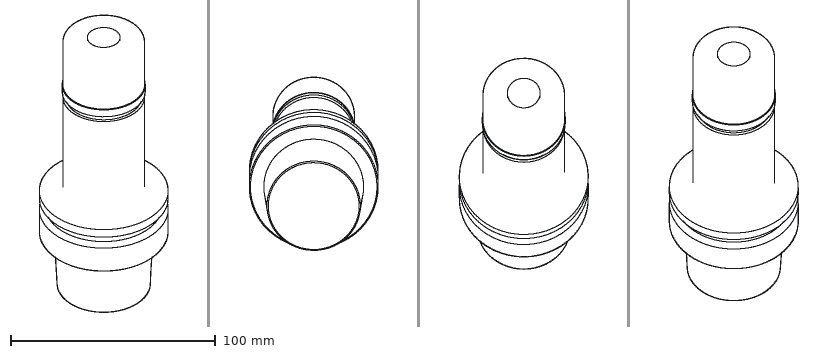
import cadquery as cq
import math

TAPER_LENGTH = 32.0
FLANGE_HEIGHT = 26.0
OVERALL_LENGTH = 152.0
NOSE_TOP = OVERALL_LENGTH - TAPER_LENGTH

FLANGE_RADIUS = 31.5
FLANGE_CHAMFER = 0.6
GROOVE_BOTTOM_RADIUS = 28.5
GROOVE_CENTER_Z = 18.0
GROOVE_BOTTOM_WIDTH = 3.3
GROOVE_FLANK_ANGLE = math.radians(30)

TAPER_TOP_RADIUS = 24.38
TAPER_BOTTOM_RADIUS = 22.78
TAPER_CHAMFER = 0.6

NOSE_RADIUS = 20.0
NOSE_EDGE_RADIUS = 3.0
NOSE_FOOT_RADIUS = 3.0

RING_RADIUS = 20.3
RING_TOP_Z = 91.3
RING_HEIGHT = 4.5
RING_CHAMFER = RING_RADIUS - NOSE_RADIUS
NECK_RADIUS = 18.55
NECK_HEIGHT = 3.2

BORE_RADIUS = 8.0
BORE_DEPTH = 40.0


def make_shank():
    """Conical shank below the seating face, chamfered at its end."""
    shank = (
        cq.Workplane("XY")
        .workplane(offset=-TAPER_LENGTH)
        .circle(TAPER_BOTTOM_RADIUS)
        .workplane(offset=TAPER_LENGTH)
        .circle(TAPER_TOP_RADIUS)
        .loft(ruled=True)
    )
    return shank.faces("<Z").edges().chamfer(TAPER_CHAMFER)


def make_flange():
    """Flange disc with a trapezoidal groove around it."""
    flange = cq.Workplane("XY").circle(FLANGE_RADIUS).extrude(FLANGE_HEIGHT)
    flange = flange.faces("<Z").edges().chamfer(FLANGE_CHAMFER)
    depth = FLANGE_RADIUS - GROOVE_BOTTOM_RADIUS
    bottom_half = GROOVE_BOTTOM_WIDTH / 2
    mouth_half = bottom_half + depth * math.tan(GROOVE_FLANK_ANGLE)
    groove = (
        cq.Workplane("XZ")
        .moveTo(FLANGE_RADIUS, GROOVE_CENTER_Z - mouth_half)
        .lineTo(GROOVE_BOTTOM_RADIUS, GROOVE_CENTER_Z - bottom_half)
        .lineTo(GROOVE_BOTTOM_RADIUS, GROOVE_CENTER_Z + bottom_half)
        .lineTo(FLANGE_RADIUS, GROOVE_CENTER_Z + mouth_half)
        .close()
        .revolve(360, (0, 0, 0), (0, 1, 0))
    )
    return flange.cut(groove)


def make_disc(radius, bottom_z, height):
    """Solid disc about Z, standing on bottom_z."""
    return cq.Workplane("XY").workplane(offset=bottom_z).circle(radius).extrude(height)


def make_nose():
    """Cylindrical nose with rounded top, ring, neck and blind bore."""
    nose = make_disc(NOSE_RADIUS, FLANGE_HEIGHT, NOSE_TOP - FLANGE_HEIGHT)
    nose = nose.faces(">Z").edges().fillet(NOSE_EDGE_RADIUS)
    neck_top = RING_TOP_Z - RING_HEIGHT
    neck_bottom = neck_top - NECK_HEIGHT
    neck_cut = make_disc(RING_RADIUS, neck_bottom, NECK_HEIGHT).cut(
        make_disc(NECK_RADIUS, neck_bottom, NECK_HEIGHT)
    )
    ring = make_disc(RING_RADIUS, neck_top, RING_HEIGHT)
    ring = ring.faces(">Z").edges().chamfer(RING_CHAMFER)
    nose = nose.cut(neck_cut).union(ring)
    return nose.cut(make_disc(BORE_RADIUS, NOSE_TOP - BORE_DEPTH, BORE_DEPTH))


def make_foot_fillet():
    """Concave ring that blends the nose into the top of the flange."""
    return (
        cq.Workplane("XZ")
        .moveTo(NOSE_RADIUS - NOSE_FOOT_RADIUS, FLANGE_HEIGHT)
        .lineTo(NOSE_RADIUS + NOSE_FOOT_RADIUS, FLANGE_HEIGHT)
        .radiusArc((NOSE_RADIUS, FLANGE_HEIGHT + NOSE_FOOT_RADIUS), NOSE_FOOT_RADIUS)
        .lineTo(NOSE_RADIUS - NOSE_FOOT_RADIUS, FLANGE_HEIGHT + NOSE_FOOT_RADIUS)
        .close()
        .revolve(360, (0, 0, 0), (0, 1, 0))
    )


result = make_flange().union(make_shank()).union(make_nose()).union(make_foot_fillet())